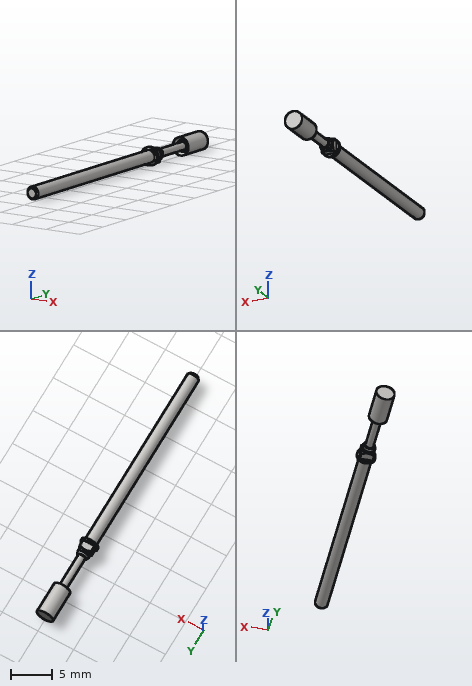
import cadquery as cq
import math

total_length = 36.6

head_diameter = 2.3
head_length = 4.25

recess_mouth_diameter = 2.27
recess_floor_diameter = 1.55
recess_depth = 0.45

plunger_diameter = 1.02

body_diameter = 1.6
body_end = 25.5
tail_chamfer_length = 0.25
tail_tip_diameter = 1.25

flange_diameter = 2.3
flange_thickness = 0.33

collar_length = 1.72
nose_tip_diameter = 1.3
nose_chamfer_length = 0.35
nose_length = 0.7
collar_width = body_diameter
collar_corner_diameter = collar_width * math.sqrt(2)
corner_chamfer_length = 0.25


def cylinder(diameter, start, length):
    """Cylinder on the Y axis running from start toward +Y."""
    return cq.Workplane("XZ", origin=(0, start, 0)).circle(diameter / 2).extrude(-length)


def cone(rear_diameter, front_diameter, start, length):
    """Truncated cone on the Y axis running from start toward +Y."""
    return (
        cq.Workplane("XZ", origin=(0, start, 0))
        .circle(rear_diameter / 2)
        .workplane(offset=-length)
        .circle(front_diameter / 2)
        .loft()
    )


def square_collar(start):
    """Square bar with its front corners coned off and its front end turned to a chamfered round nose."""
    front = start + collar_length
    nose_start = front - nose_length
    turned = (
        cq.Workplane("XY")
        .moveTo(0, start)
        .lineTo(collar_corner_diameter / 2, start)
        .lineTo(collar_corner_diameter / 2, nose_start - corner_chamfer_length)
        .lineTo(collar_width / 2, nose_start)
        .lineTo(collar_width / 2, front - nose_chamfer_length)
        .lineTo(nose_tip_diameter / 2, front)
        .lineTo(0, front)
        .close()
        .revolve(360, (0, 0, 0), (0, 1, 0))
    )
    square = (
        cq.Workplane("XZ", origin=(0, start, 0))
        .rect(collar_width, collar_width)
        .extrude(-collar_length)
    )
    return turned.intersect(square)


flange_end = body_end + flange_thickness
head_start = total_length - head_length

tail_chamfer = cone(tail_tip_diameter, body_diameter, 0, tail_chamfer_length)
body = cylinder(body_diameter, tail_chamfer_length, body_end - tail_chamfer_length).union(tail_chamfer)
flange = cylinder(flange_diameter, body_end, flange_thickness)
collar = square_collar(flange_end)
plunger = cylinder(plunger_diameter, flange_end, total_length - flange_end)
recess = cone(recess_mouth_diameter, recess_floor_diameter, head_start, recess_depth)
head = cylinder(head_diameter, head_start, head_length).cut(recess)

result = body.union(flange).union(collar).union(head).union(plunger)